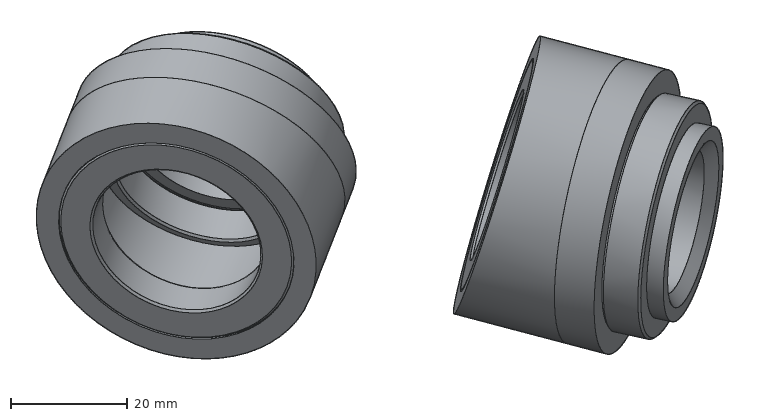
import cadquery as cq
import math

TILT = 8.0
HOUSING_DIA = 50.0
WEDGE_LENGTH = 18.03
RING_THICKNESS = 7.0
WEDGE_BORE_DIA = 35.5

BEARING_OD = 42.0
BEARING_BORE = 30.0
BEARING_WIDTH = 7.0
BEARING_CHAMFER = 0.4

SLEEVE_BORE = 25.0
SLEEVE_BORE_LENGTH = 7.0
SLEEVE_RELIEF_DIA = 25.4
FLANGE_DIA = 34.4
FLANGE_THICKNESS = 3.0
FLANGE_CHAMFER = 2.0

RING_LENGTH = RING_THICKNESS / math.cos(math.radians(TILT))
SEAT_DEPTH = BEARING_WIDTH / 2
JOINT_BEARING_START = -RING_THICKNESS - SEAT_DEPTH
SLEEVE_DIA = BEARING_BORE
STOCK_LENGTH = 4 * HOUSING_DIA

RING_BACK_Y = RING_LENGTH
SPLIT_Y = 0.0
FRONT_Y = -WEDGE_LENGTH


def leaning_plane(y, lean):
    """Plane through (0, y, 0) whose normal is +Y tipped towards +Z by `lean` degrees."""
    angle = math.radians(lean)
    normal = (0, math.cos(angle), math.sin(angle))
    return cq.Plane(origin=(0, y, 0), xDir=(1, 0, 0), normal=normal)


FRONT_FACE = leaning_plane(FRONT_Y, -TILT)
SPLIT_FACE = leaning_plane(SPLIT_Y, TILT)
RING_BACK_FACE = leaning_plane(RING_BACK_Y, TILT)
HOUSING_AXIS = leaning_plane(0, 0)


def cylinder(plane, start, length, diameter):
    """Cylinder along the plane's normal, from `start` to `start + length`."""
    return cq.Workplane(plane).workplane(offset=start).circle(diameter / 2).extrude(length)


def housing_blank(front_face, back_face):
    """Round bar along Y trimmed by two leaning planes."""
    bar = cylinder(HOUSING_AXIS, -STOCK_LENGTH / 2, STOCK_LENGTH, HOUSING_DIA)
    ahead = cq.Workplane(front_face).rect(STOCK_LENGTH, STOCK_LENGTH).extrude(-STOCK_LENGTH)
    behind = cq.Workplane(back_face).rect(STOCK_LENGTH, STOCK_LENGTH).extrude(STOCK_LENGTH)
    return bar.cut(ahead).cut(behind)


def make_wedge_housing():
    """Wedge with a bearing pocket in each end, square to that end's face, and a clear bore between them."""
    pocket = cylinder(FRONT_FACE, 0, BEARING_WIDTH, BEARING_OD)
    seat = cylinder(RING_BACK_FACE, JOINT_BEARING_START, SEAT_DEPTH, BEARING_OD)
    bore = cylinder(HOUSING_AXIS, -STOCK_LENGTH / 2, STOCK_LENGTH, WEDGE_BORE_DIA)
    return housing_blank(FRONT_FACE, SPLIT_FACE).cut(pocket).cut(seat).cut(bore)


def make_ring_housing():
    """Parallel-faced slanted ring with a bearing seat and a sleeve hole square to its faces."""
    seat = cylinder(RING_BACK_FACE, -RING_THICKNESS, SEAT_DEPTH, BEARING_OD)
    sleeve_hole = cylinder(RING_BACK_FACE, -RING_THICKNESS, RING_THICKNESS, SLEEVE_DIA)
    return housing_blank(SPLIT_FACE, RING_BACK_FACE).cut(seat).cut(sleeve_hole)


def make_bearing(plane, start):
    """Plain bearing ring with all four rims chamfered."""
    ring = cylinder(plane, start, BEARING_WIDTH, BEARING_OD)
    bore = cylinder(plane, start, BEARING_WIDTH, BEARING_BORE)
    return ring.cut(bore).edges("%CIRCLE").chamfer(BEARING_CHAMFER)


def make_sleeve():
    """Flanged sleeve through the outer bearing, ending against the joint bearing."""
    shank_front = -RING_THICKNESS + SEAT_DEPTH
    relief_front = shank_front + SLEEVE_BORE_LENGTH
    flange_front = BEARING_WIDTH
    flange_back = flange_front + FLANGE_THICKNESS
    profile = [
        (SLEEVE_BORE / 2, shank_front),
        (SLEEVE_DIA / 2, shank_front),
        (SLEEVE_DIA / 2, flange_front),
        (FLANGE_DIA / 2, flange_front),
        (FLANGE_DIA / 2, flange_back),
        (SLEEVE_RELIEF_DIA / 2 + FLANGE_CHAMFER, flange_back),
        (SLEEVE_RELIEF_DIA / 2, flange_back - FLANGE_CHAMFER),
        (SLEEVE_RELIEF_DIA / 2, relief_front),
        (SLEEVE_BORE / 2, relief_front),
    ]
    axis_plane = cq.Plane(
        origin=RING_BACK_FACE.origin,
        xDir=(1, 0, 0),
        normal=RING_BACK_FACE.yDir.multiply(-1),
    )
    return cq.Workplane(axis_plane).polyline(profile).close().revolve(360, (0, 0), (0, 1))


wedge_housing = make_wedge_housing()
ring_housing = make_ring_housing()
sleeve = make_sleeve()

bearing_places = [
    (FRONT_FACE, 0),
    (RING_BACK_FACE, JOINT_BEARING_START),
    (RING_BACK_FACE, 0),
]
bearings = [make_bearing(plane, start) for plane, start in bearing_places]

result = cq.Compound.makeCompound([
    wedge_housing.val(),
    ring_housing.val(),
    *[bearing.val() for bearing in bearings],
    sleeve.val(),
])